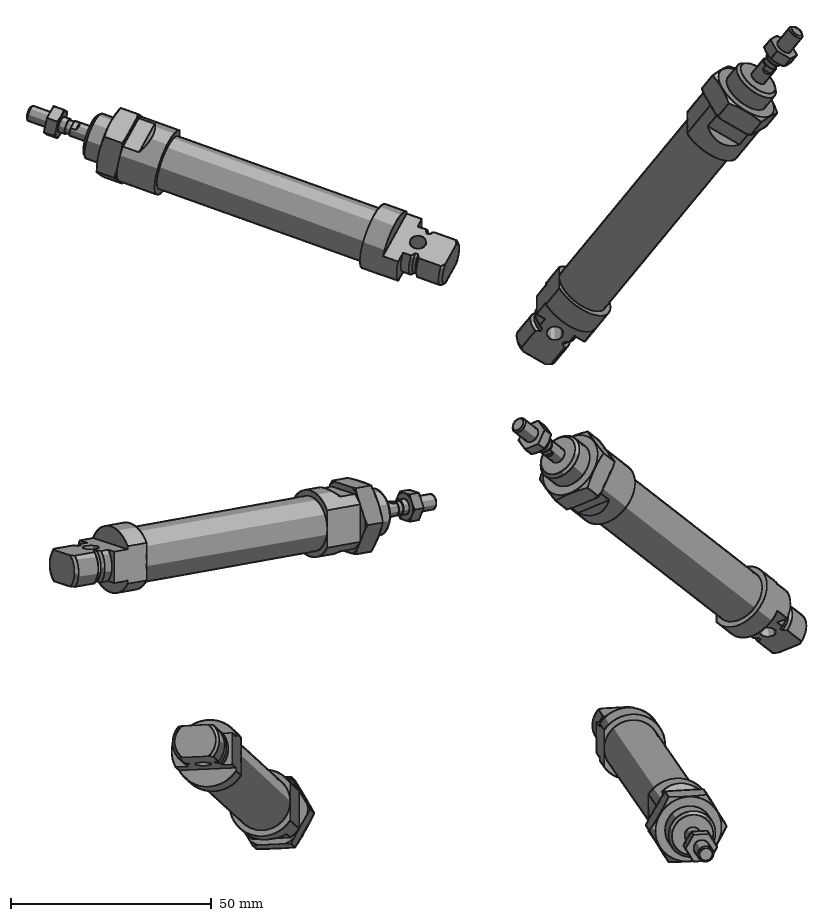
import cadquery as cq
import math

rod_nut_start = 5.8
rod_neck_start = 10.5
wrench_flat_start = 11.8
wrench_flat_end = 13.2
collar_start = 17.0
lock_nut_start = 22.2
head_start = 27.7
head_flat_end = 32.1
barrel_start = 38.0
cap_start = 94.0
tongue_start = 99.8
cap_shoulder = 104.0
tail_end = 115.0

rod_diameter = 4.0
rod_tip_diameter = 3.2
rod_neck_diameter = 3.5
rod_flat_width = 3.2
rod_tip_chamfer = (rod_diameter - rod_tip_diameter) / 2

rod_nut_flats = 7.0
rod_nut_thickness = 3.0
lock_nut_flats = 17.0
lock_nut_thickness = head_start - lock_nut_start
rod_nut_face = rod_nut_flats
lock_nut_start_face = 16.8
lock_nut_end_face = 18.4
nut_chamfer_angle = math.radians(20)

thread_diameter = 12.0
thread_root_diameter = 10.5
thread_chamfer = (thread_diameter - thread_root_diameter) / 2

barrel_diameter = 14.0
block_diameter = 17.0
side_flat = barrel_diameter / 2
head_flat_height = side_flat
tongue_thickness = 8.0

pin_hole_diameter = 4.0
pin_hole_x = 106.0
groove_x = 107.2
groove_floor_width = 0.8
groove_top_width = 2.1


def cylinder(x_start, x_end, diameter):
    """Solid round bar along X between two stations."""
    return cq.Workplane("YZ", origin=(x_start, 0, 0)).circle(diameter / 2).extrude(x_end - x_start)


def box(x_start, x_end, y_start, y_end, z_start, z_end):
    """Axis-aligned block between opposite corners."""
    size = (x_end - x_start, y_end - y_start, z_end - z_start)
    return cq.Workplane("XY", origin=(x_start, y_start, z_start)).box(*size, centered=False)


def revolve_profile(points):
    """Turn a closed (x, radius) outline about the X axis."""
    return cq.Workplane("XY").polyline(points).close().revolve(360, (0, 0, 0), (1, 0, 0))


def hex_nut(x_start, thickness, flats, bore, end_face_diameter, start_face_diameter=None):
    """Hex nut with corners on +-Y, turned down conically to the given face diameters."""
    corner_diameter = 2 * flats / math.sqrt(3)
    x_end = x_start + thickness
    nut = cq.Workplane("YZ", origin=(x_start, 0, 0)).polygon(6, corner_diameter).extrude(thickness)
    nut = nut.intersect(nut_cone(x_end, x_start, end_face_diameter))
    if start_face_diameter is not None:
        nut = nut.intersect(nut_cone(x_start, x_end, start_face_diameter))
    return nut.cut(cylinder(x_start, x_end, bore))


def nut_cone(x_face, x_back, face_diameter):
    """Cone that starts at the face diameter and widens toward the other side of a nut."""
    face_radius = face_diameter / 2
    back_radius = face_radius + abs(x_back - x_face) / math.tan(nut_chamfer_angle)
    return revolve_profile([
        (x_face, 0),
        (x_face, face_radius),
        (x_back, back_radius),
        (x_back, 0),
    ])


def flat_cutter(x_start, x_end, floor, outer_radius, side):
    """Cutter above (side 1) or below (side -1) a flat whose far end runs out at 45 degrees."""
    rise = outer_radius - floor
    return (
        cq.Workplane("XZ")
        .moveTo(x_start, side * floor)
        .lineTo(x_end, side * floor)
        .lineTo(x_end + rise, side * outer_radius)
        .lineTo(x_start, side * outer_radius)
        .close()
        .extrude(outer_radius, both=True)
    )


def make_rod():
    """Rod with chamfered tip, thread run-out neck and two wrench flats, reaching to the barrel."""
    rod_radius = rod_diameter / 2
    rod = cylinder(0, barrel_start, rod_diameter).faces("<X").chamfer(rod_tip_chamfer)
    neck_ring = cylinder(rod_neck_start, wrench_flat_start, rod_diameter)
    neck_ring = neck_ring.cut(cylinder(rod_neck_start, wrench_flat_start, rod_neck_diameter))
    rod = rod.cut(neck_ring)
    for side in (1, -1):
        rod = rod.cut(flat_cutter(wrench_flat_start, wrench_flat_end, rod_flat_width / 2, rod_radius, side))
    return rod


def end_block(x_start, x_end):
    """Round end block with one side flattened level with the barrel on +Y."""
    radius = block_diameter / 2
    return cylinder(x_start, x_end, block_diameter).cut(
        box(x_start, x_end, side_flat, radius, -radius, radius)
    )


def make_front_head():
    """Front end block with its threaded collar, two wrench flats and the rod bore."""
    head = end_block(head_start, barrel_start)
    radius = block_diameter / 2
    for side in (1, -1):
        head = head.cut(flat_cutter(head_start, head_flat_end, head_flat_height, radius, side))
    collar = cylinder(collar_start, head_start, thread_diameter).faces("<X").chamfer(thread_chamfer)
    return head.union(collar).cut(cylinder(collar_start, barrel_start, rod_diameter))


def tail_groove():
    """Ring cutter for the flat-bottomed V groove around the tail."""
    floor_half = groove_floor_width / 2
    top_half = groove_top_width / 2
    floor_radius = thread_root_diameter / 2
    top_radius = thread_diameter / 2
    return revolve_profile([
        (groove_x - top_half, top_radius),
        (groove_x - floor_half, floor_radius),
        (groove_x + floor_half, floor_radius),
        (groove_x + top_half, top_radius),
    ])


def make_rear_cap():
    """Rear end block with a flattened, grooved tail and a cross hole for the mounting pin."""
    radius = block_diameter / 2
    tail = cylinder(cap_shoulder, tail_end, thread_diameter).faces(">X").chamfer(thread_chamfer)
    cap = end_block(cap_start, cap_shoulder).union(tail.cut(tail_groove()))
    tongue_half = tongue_thickness / 2
    for z_start, z_end in ((tongue_half, radius), (-radius, -tongue_half)):
        cap = cap.cut(box(tongue_start, tail_end, -radius, radius, z_start, z_end))
    pin_hole = cq.Workplane("XY").center(pin_hole_x, 0).circle(pin_hole_diameter / 2)
    return cap.cut(pin_hole.extrude(radius, both=True))


rod = make_rod()
rod_nut = hex_nut(rod_nut_start, rod_nut_thickness, rod_nut_flats, rod_diameter, rod_nut_face)
lock_nut = hex_nut(
    lock_nut_start, lock_nut_thickness, lock_nut_flats, thread_diameter, lock_nut_end_face, lock_nut_start_face
)
front_head = make_front_head()
barrel = cylinder(barrel_start, cap_start, barrel_diameter)
rear_cap = make_rear_cap()

result = cq.Compound.makeCompound([
    rod.val(),
    rod_nut.val(),
    lock_nut.val(),
    front_head.val(),
    barrel.val(),
    rear_cap.val(),
])